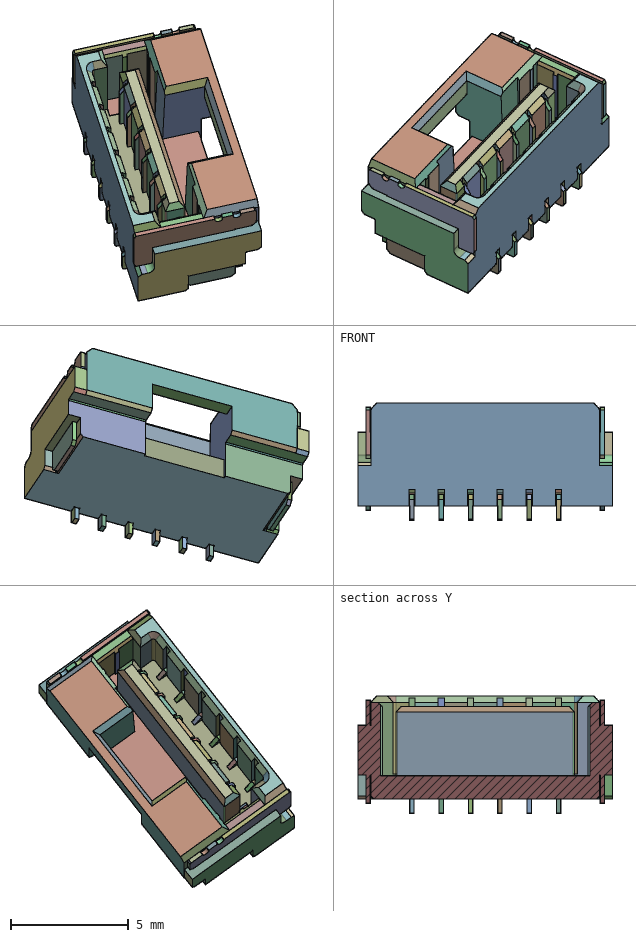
import cadquery as cq
import math


overall_length = 10.85
housing_half_length = 4.87
housing_depth = 5.47
housing_height = 4.39
edge_bevel_width = 0.25
edge_bevel_height = 0.27
bevel_foot = housing_height - edge_bevel_height
overhang_bottom = 1.84
overhang_bevel = 0.15
lower_back = 4.74
step_relief = 0.05

floor_top = 1.0
front_wall_inner = 0.47
lobe_half_length = 3.92
lobe_corner_radius = 0.12
cavity_half_length = 4.45
cavity_front = 1.17
cavity_back = 3.04
rim_bevel_width = 0.12
saddle_bevel_width = 0.22
side_rib_center = 2.06
side_rib_width = 0.21
side_rib_depth = 0.08
back_rib_center = 4.03
back_rib_width = 0.23
back_rib_depth = 0.03
floor_pad_half_length = 3.62
floor_pad_height = 0.08
pad_top = floor_top + floor_pad_height

window_half_length = 1.84
window_back = 4.89
window_back_bevel = 0.2
bridge_bottom = 3.32
floor_back = 4.62
lead_in_half_length = 3.09
lead_in_depth = 0.11

tongue_half_length = 3.8
tongue_front = 1.65
tongue_back = 2.52
tongue_top = 3.95
tongue_bevel = 0.22
tongue_bevel_height = 0.25
tongue_corner_radius = 0.05

contact_count = 6
contact_pitch = 1.25
contact_width = 0.2
contact_front = -0.09
contact_bottom = -0.61
tail_depth = 0.4
tail_back = contact_front + tail_depth
tail_bevel = 0.07
tail_shoulder = 0.28
tail_top = 0.49
tail_slope_back = 0.16
root_bottom = 0.11
hump_top = 1.43
hump_bevel = 0.02
hump_foot = 0.86
arm_front = 1.48
arm_shoulder = 3.18
arm_peak = 1.77
arm_peak_height = 3.63
arm_back_height = 3.57
tongue_slot_back = tongue_front + tongue_bevel
wall_slot_width = 0.26
wall_slot_back = 0.29
tail_slot_height = 0.72
tail_slot_roof_run = 0.09
tail_slot_roof = 0.55

wing_back = 5.45
wing_top = 3.15
wing_width = overall_length / 2 - housing_half_length
wing_front = 0.73
wing_ledge = 1.87
wing_ledge_radius = 0.3
wing_ledge_bevel_width = 0.17
wing_ledge_bevel_height = 0.13
pocket_front = 2.21
pocket_height = 1.02
pocket_bevel = 0.13

plate_thickness = 0.18
plate_gap = 0.02
plate_front = -0.08
plate_back = 5.31
plate_top = 4.22
plate_tail_bottom = 3.18
plate_nose_bottom = 2.04
plate_nose_bevel = 0.13
plate_tail_bevel = 0.2
plate_top_bevel = 0.07
foot_back = 4.38
foot_bottom = -0.17
foot_bevel = 0.18
notch_centers = (3.66, 4.46)
notch_width = 0.33
notch_side_depth = 0.11
notch_depth = 0.22


def box(x_min, x_max, y_min, y_max, z_min, z_max):
    size = (x_max - x_min, y_max - y_min, z_max - z_min)
    return cq.Workplane("XY").box(*size, centered=False).translate((x_min, y_min, z_min))


def side_profile(points, x_min, x_max):
    """Extrude a closed (Y, Z) outline from x_min to x_max."""
    return cq.Workplane("YZ", origin=(x_min, 0, 0)).polyline(points).close().extrude(x_max - x_min)


def frustum(lower, upper, z_lower, z_upper):
    """Join two rectangles, each (half length, y min, y max), at two heights."""
    wires = []
    for (half, y_min, y_max), z in ((lower, z_lower), (upper, z_upper)):
        corners = [(-half, y_min, z), (half, y_min, z), (half, y_max, z), (-half, y_max, z)]
        wires.append(cq.Wire.makePolygon([cq.Vector(*c) for c in corners], close=True))
    return cq.Workplane(obj=cq.Solid.makeLoft(wires, True))


def both_ends(shape):
    return shape.union(shape.mirror("YZ"))


def stepped_outline(back, top):
    """Side outline with the upper back overhanging the lower back."""
    return [
        (0, 0),
        (0, top),
        (back, top),
        (back, overhang_bottom + overhang_bevel),
        (back - overhang_bevel, overhang_bottom),
        (lower_back + step_relief, overhang_bottom),
        (lower_back, overhang_bottom - step_relief),
        (lower_back, 0),
    ]


def housing_block():
    outline = stepped_outline(housing_depth, housing_height)
    block = side_profile(outline, -housing_half_length, housing_half_length)
    half_top = housing_half_length - edge_bevel_width
    end_outline = [
        (-housing_half_length, 0),
        (housing_half_length, 0),
        (housing_half_length, bevel_foot),
        (half_top, housing_height),
        (-half_top, housing_height),
        (-housing_half_length, bevel_foot),
    ]
    return block.intersect(cq.Workplane("XZ").polyline(end_outline).close().extrude(-housing_depth))


def front_lobe():
    """Rounded front part of the cavity with its flared rim."""
    lobe_depth = cavity_back - front_wall_inner
    center_y = front_wall_inner + lobe_depth / 2
    plan = cq.Sketch().rect(2 * lobe_half_length, lobe_depth).vertices().fillet(lobe_corner_radius)
    shaft = cq.Workplane("XY", origin=(0, center_y, floor_top)).placeSketch(plan)
    shaft = shaft.extrude(bevel_foot - floor_top)
    flare_angle = -math.degrees(math.atan2(edge_bevel_width, edge_bevel_height))
    rim = cq.Workplane("XY", origin=(0, center_y, bevel_foot)).placeSketch(plan)
    rim = rim.extrude(edge_bevel_height, taper=flare_angle)
    past_rim = box(-housing_half_length, housing_half_length, 0, cavity_back, floor_top, housing_height)
    return shaft.union(rim).intersect(past_rim)


def cavity():
    main = box(-cavity_half_length, cavity_half_length, cavity_front, cavity_back, floor_top, bevel_foot)
    rim = frustum(
        (cavity_half_length, cavity_front, cavity_back),
        (cavity_half_length + rim_bevel_width, cavity_front, cavity_back),
        bevel_foot - rim_bevel_width,
        bevel_foot,
    )
    saddle = side_profile(
        [
            (cavity_front, bevel_foot),
            (cavity_back, bevel_foot),
            (cavity_back + saddle_bevel_width, housing_height),
            (cavity_front - saddle_bevel_width, housing_height),
        ],
        -housing_half_length,
        housing_half_length,
    )
    rib_inner = cavity_half_length - side_rib_depth
    rib_top = bevel_foot - rim_bevel_width
    side_rib_outline = [
        (rib_inner, floor_top),
        (cavity_half_length, floor_top),
        (cavity_half_length, rib_top),
        (rib_inner, rib_top - side_rib_depth),
    ]
    side_rib = cq.Workplane("XZ", origin=(0, side_rib_center - side_rib_width / 2, 0))
    side_rib = side_rib.polyline(side_rib_outline).close().extrude(-side_rib_width)
    back_rib_drop = back_rib_depth * edge_bevel_height / saddle_bevel_width
    back_rib = side_profile(
        [
            (cavity_back, floor_top),
            (cavity_back, bevel_foot),
            (cavity_back - back_rib_depth, bevel_foot - back_rib_drop),
            (cavity_back - back_rib_depth, floor_top),
        ],
        back_rib_center - back_rib_width / 2,
        back_rib_center + back_rib_width / 2,
    )
    ribs = both_ends(side_rib).union(both_ends(back_rib))
    return main.union(rim).union(front_lobe()).union(saddle).cut(ribs)


def latch_window():
    inside = box(-window_half_length, window_half_length, cavity_back, window_back, floor_top, housing_height)
    flare = frustum(
        (window_half_length, cavity_front, window_back),
        (window_half_length + edge_bevel_width, cavity_front, window_back + window_back_bevel),
        bevel_foot,
        housing_height,
    )
    through = box(-window_half_length, window_half_length, floor_back, housing_depth, 0, bridge_bottom)
    lead_in = side_profile(
        [
            (cavity_back, floor_top),
            (cavity_back + lead_in_depth, housing_height),
            (cavity_back, housing_height),
        ],
        -lead_in_half_length,
        lead_in_half_length,
    )
    return inside.union(flare).union(through).union(lead_in)


def tongue():
    shoulder = tongue_top - tongue_bevel_height
    shaft = box(-tongue_half_length, tongue_half_length, tongue_front, tongue_back, 0, shoulder)
    crown = frustum(
        (tongue_half_length, tongue_front, tongue_back),
        (tongue_half_length - tongue_bevel, tongue_front + tongue_bevel, tongue_back - tongue_bevel),
        shoulder,
        tongue_top,
    )
    envelope = box(-tongue_half_length, tongue_half_length, tongue_front, tongue_back, 0, tongue_top)
    return shaft.union(crown).intersect(envelope.edges("|Z").fillet(tongue_corner_radius))


def floor_pad():
    """Raised floor with sloping ends under the contacts."""
    half_top = floor_pad_half_length - floor_pad_height
    ramped = frustum(
        (floor_pad_half_length, cavity_front, tongue_front),
        (half_top, cavity_front, tongue_front),
        floor_top,
        pad_top,
    )
    front = box(-lobe_half_length, lobe_half_length, front_wall_inner, cavity_front, floor_top, pad_top)
    return ramped.union(front)


def contact_slots(x):
    half_contact = contact_width / 2
    half_slot = wall_slot_width / 2
    in_tongue = box(x - half_contact, x + half_contact, tongue_front, tongue_slot_back, pad_top, tongue_top)
    in_wall = box(x - half_slot, x + half_slot, wall_slot_back, front_wall_inner, pad_top, housing_height)
    for_tail = side_profile(
        [
            (0, 0),
            (0, tail_slot_height),
            (tail_slot_roof_run, tail_slot_roof),
            (tail_back, tail_slot_roof),
            (tail_back, 0),
        ],
        x - half_slot,
        x + half_slot,
    )
    return in_tongue.union(in_wall).union(for_tail)


def contact(x):
    outline = [
        (tail_back, contact_bottom),
        (contact_front + tail_bevel, contact_bottom),
        (contact_front, contact_bottom + tail_bevel),
        (contact_front, tail_shoulder),
        (tail_slope_back, tail_top),
        (tail_back, tail_top),
        (tail_back, hump_top - hump_bevel),
        (front_wall_inner, hump_top),
        (hump_foot, pad_top),
        (arm_front, pad_top),
        (arm_front, arm_shoulder),
        (arm_peak, arm_peak_height),
        (tongue_slot_back, arm_back_height),
        (tongue_slot_back, root_bottom),
        (tail_back, root_bottom),
    ]
    return side_profile(outline, x - contact_width / 2, x + contact_width / 2)


def wing():
    x_inner = -housing_half_length
    x_outer = x_inner - wing_width
    body = side_profile(stepped_outline(wing_back, wing_top), x_outer, x_inner)
    arc_start = wing_front - wing_ledge_radius
    corner = (
        cq.Workplane("YZ", origin=(x_outer, 0, 0))
        .moveTo(0, wing_top)
        .lineTo(0, wing_ledge - wing_ledge_bevel_height)
        .lineTo(wing_ledge_bevel_width, wing_ledge)
        .lineTo(arc_start, wing_ledge)
        .radiusArc((wing_front, wing_ledge + wing_ledge_radius), -wing_ledge_radius)
        .lineTo(wing_front, wing_top)
        .close()
        .extrude(wing_width)
    )
    pocket = side_profile(
        [
            (pocket_front - pocket_bevel, 0),
            (pocket_front, pocket_bevel),
            (pocket_front, pocket_height),
            (lower_back, pocket_height),
            (lower_back, 0),
        ],
        x_outer,
        x_inner,
    )
    return body.cut(corner).cut(pocket)


def underside_bevel():
    """Bevel on the housing's bottom edge inside the wing pocket."""
    edge = housing_half_length
    outline = [(-edge, 0), (-edge, pocket_bevel), (-edge + pocket_bevel, 0)]
    bevel = cq.Workplane("XZ", origin=(0, pocket_front - pocket_bevel, 0)).polyline(outline).close()
    return bevel.extrude(-(lower_back - pocket_front + pocket_bevel))


def hold_down_plate():
    x_inner = -housing_half_length - plate_gap
    x_outer = x_inner - plate_thickness
    outline = [
        (0, plate_top),
        (plate_front, plate_top - plate_nose_bevel),
        (plate_front, plate_nose_bottom + plate_nose_bevel),
        (0, plate_nose_bottom),
        (pocket_front, plate_nose_bottom),
        (pocket_front, foot_bottom + foot_bevel),
        (pocket_front + foot_bevel, foot_bottom),
        (foot_back - foot_bevel, foot_bottom),
        (foot_back, foot_bottom + foot_bevel),
        (foot_back, plate_tail_bottom),
        (plate_back - plate_tail_bevel, plate_tail_bottom),
        (plate_back, plate_tail_bottom + plate_tail_bevel),
        (plate_back, plate_top - plate_top_bevel),
        (plate_back - plate_top_bevel, plate_top),
    ]
    plate = side_profile(outline, x_outer, x_inner)
    for center in notch_centers:
        left = center - notch_width / 2
        right = center + notch_width / 2
        side_bottom = plate_top - notch_side_depth
        notch = (
            cq.Workplane("YZ", origin=(x_outer, 0, 0))
            .moveTo(left, plate_top)
            .lineTo(left, side_bottom)
            .threePointArc((center, plate_top - notch_depth), (right, side_bottom))
            .lineTo(right, plate_top)
            .close()
            .extrude(plate_thickness)
        )
        plate = plate.cut(notch)
    return plate


result = housing_block().cut(cavity()).cut(latch_window()).cut(both_ends(underside_bevel()))
result = result.union(floor_pad()).union(tongue()).union(both_ends(wing()))
for index in range(contact_count):
    contact_x = (index - (contact_count - 1) / 2) * contact_pitch
    result = result.cut(contact_slots(contact_x)).union(contact(contact_x))
result = result.union(both_ends(hold_down_plate()))